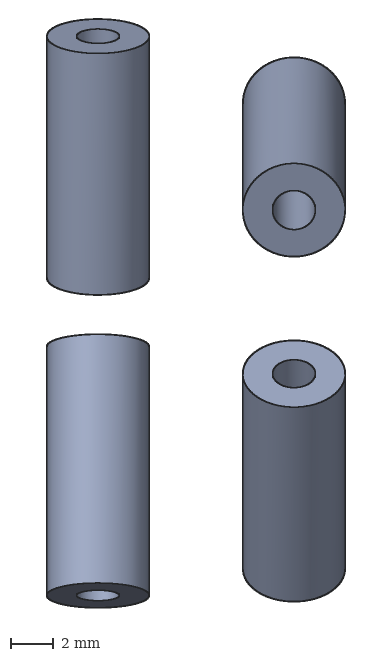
import cadquery as cq

length = 12.0
outer_diameter = 4.8
bore_diameter = 2.0

result = (
    cq.Workplane("XY")
    .circle(outer_diameter / 2)
    .circle(bore_diameter / 2)
    .extrude(length)
)